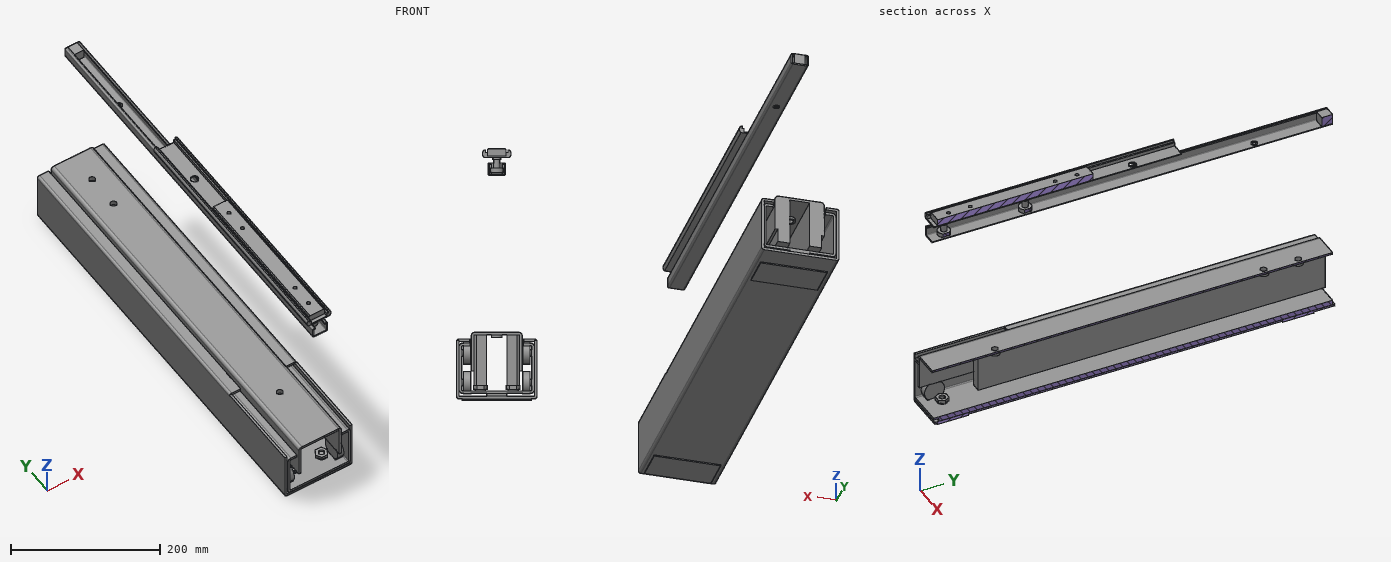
import cadquery as cq


total_width = 108.0
total_length = 605.35
total_height = 337.0
sheet = 3.6
smallest_radius = 0.3

pad_height = 1.8
pad_width = 100.0
pad_length = 47.0
pad_starts = (8.0, 527.0)
housing_front = 4.0
housing_top = 82.1
housing_radius = 3.6
lip_opening = 72.0
lip_start = 138.5
plain_wall_top = 80.3
housing_inner_width = total_width - 2 * sheet
housing_floor_top = pad_height + sheet

cradle_front = 2.0
cradle_rear = 602.0
cradle_bottom = 9.1
cradle_top = 76.6
cradle_radius = 5.0
cradle_width = housing_inner_width
cradle_floor_top = cradle_bottom + sheet
rib_width = 27.4
rib_setback = 8.0

roller_diameter = 30.0
roller_inner = 34.7
roller_width = 10.0
roller_clearance = 1.0
axle_diameter = 9.0
lower_roller = (25.0, 23.7)
upper_roller = (170.0, 63.2)

bolt_x = 21.9
bolt_y = 30.0
bolt_corners = 18.7
bolt_head = 5.5
bolt_collar_diameter = 14.0
bolt_collar = 1.8
bolt_socket_diameter = 8.5
bolt_socket_depth = 3.0

carriage_length = 602.0
carriage_width = 68.4
carriage_top = 91.2
carriage_radius = 5.0
leg_bottom = 39.2
bar_inner = 13.7
bar_bottom = 20.0
bar_front = 80.0
bar_bevel = 3.6
carriage_hole = 9.0
carriage_hole_places = (98.0, 502.0, 554.0)
boss_diameter = 14.5
boss_height = 3.6

channel_length = 602.0
channel_width = 24.0
channel_bottom = 301.2
channel_top = 318.0
channel_wall = 2.0
channel_opening = 15.0
channel_radius = 2.5
plug_length = 16.5
channel_hole = 5.1
channel_hole_head = 9.0
channel_hole_y = 488.0

rail_front = 2.7
rail_rear = 375.0
rail_bottom = 325.0
rail_top = 335.2
rail_half_width = 19.3
rail_edge = 17.0
rail_wall = 2.0
rail_opening = 30.0
ledge_top = 332.0
rail_hole = 11.05
rail_hole_y = 305.0
stud_places = (21.3, 143.5)
stud_diameter = 8.5
wheel_top = 311.0
collar_diameter = 11.05
collar_height = 2.5
wheel_diameter = 18.0
wheel_bottom = 305.0

slider_front = 8.0
slider_rear = 242.0
slider_width = 25.0
slider_bevel = 1.5
slider_hole = 5.0
slider_hole_places = (28.3, 61.1, 188.8, 221.6)

SIDES = (-1, 1)


def block(width, front, rear, bottom, top, x=0.0):
    """Box centred on x, between two Y planes and two Z planes."""
    return cq.Workplane("XY").box(width, rear - front, top - bottom).translate(
        (x, (front + rear) / 2, (bottom + top) / 2)
    )


def upright(diameter, x, y, bottom, top):
    """Cylinder with a vertical axis."""
    return cq.Workplane("XY", origin=(x, y, bottom)).circle(diameter / 2).extrude(top - bottom)


def cross_cylinder(diameter, inner, outer, centre, side):
    """Cylinder along X, between two distances from the middle, at centre = (Y, Z)."""
    origin = (side * inner, *centre)
    return cq.Workplane("YZ", origin=origin).circle(diameter / 2).extrude(side * (outer - inner))


def lipped_channel(width, front, rear, bottom, top, wall, radius, opening):
    """C-shaped sheet channel, open at both ends and along the middle of its top."""
    inner_radius = max(radius - wall, smallest_radius)
    outside = block(width, front, rear, bottom, top).edges("|Y").fillet(radius)
    inside = block(width - 2 * wall, front, rear, bottom + wall, top - wall)
    inside = inside.edges("|Y").fillet(inner_radius)
    mouth = block(opening, front, rear, top - 2 * wall, top)
    return outside.cut(inside).cut(mouth)


def make_housing():
    """Lipped channel with plain side walls at its front end and two foot pads."""
    body = lipped_channel(
        total_width, lip_start, total_length, pad_height, housing_top,
        sheet, housing_radius, lip_opening,
    )
    plain = block(total_width, housing_front, lip_start, pad_height, plain_wall_top)
    plain = plain.edges("|Y and <Z").fillet(housing_radius)
    inside = block(housing_inner_width, housing_front, lip_start, housing_floor_top, plain_wall_top)
    body = body.union(plain.cut(inside.edges("|Y and <Z").fillet(smallest_radius)))
    for start in pad_starts:
        pad = block(pad_width - 2 * housing_radius, start, start + pad_length, 0, pad_height)
        body = body.union(pad)
    return body


def make_roller(centre, side):
    """Roller with its axle, which ends in the cradle wall."""
    outer = roller_inner + roller_width
    roller = cross_cylinder(roller_diameter, roller_inner, outer, centre, side)
    axle_end = cradle_width / 2 - sheet / 2
    return roller.union(cross_cylinder(axle_diameter, outer, axle_end, centre, side))


def make_bolt(side):
    """Hexagon head with a round socket, on a round collar that stands on the cradle floor."""
    collar_top = cradle_floor_top + bolt_collar
    collar = upright(bolt_collar_diameter, side * bolt_x, bolt_y, cradle_floor_top, collar_top)
    head = (
        cq.Workplane("XY", origin=(side * bolt_x, bolt_y, collar_top))
        .polygon(6, bolt_corners)
        .extrude(bolt_head)
    )
    head_top = collar_top + bolt_head
    socket = upright(bolt_socket_diameter, side * bolt_x, bolt_y, head_top - bolt_socket_depth, head_top)
    return collar.union(head).cut(socket)


def make_cradle():
    """Lipped channel inside the housing, with rollers in slots of its floor and lips."""
    body = lipped_channel(
        cradle_width, cradle_front, cradle_rear, cradle_bottom, cradle_top,
        sheet, cradle_radius, lip_opening,
    )
    rib = block(rib_width, cradle_front + rib_setback, cradle_rear, housing_floor_top, cradle_bottom)
    body = body.union(rib)
    for side in SIDES:
        for centre in (lower_roller, upper_roller):
            slot = cross_cylinder(
                roller_diameter + 2 * roller_clearance,
                roller_inner - roller_clearance,
                roller_inner + roller_width + roller_clearance,
                centre, side,
            )
            body = body.cut(slot).union(make_roller(centre, side))
        body = body.union(make_bolt(side))
    return body


def make_carriage():
    """Inverted U with two thick bars inside its legs and bossed holes in its roof."""
    roof_bottom = carriage_top - sheet
    leg_inner = carriage_width / 2 - sheet
    body = block(carriage_width, 0, carriage_length, leg_bottom, carriage_top)
    body = body.edges("|Y and >Z").fillet(carriage_radius)
    inside = block(2 * leg_inner, 0, carriage_length, leg_bottom, roof_bottom)
    body = body.cut(inside.edges("|Y and >Z").fillet(carriage_radius - sheet))
    for side in SIDES:
        bar = block(
            leg_inner - bar_inner, bar_front, carriage_length, bar_bottom,
            roof_bottom, side * (leg_inner + bar_inner) / 2,
        )
        outer_edge = "|Z and <Y and >X" if side > 0 else "|Z and <Y and <X"
        body = body.union(bar.edges(outer_edge).chamfer(bar_bevel))
    for y in carriage_hole_places:
        body = body.union(upright(boss_diameter, 0, y, roof_bottom - boss_height, roof_bottom))
        body = body.cut(upright(carriage_hole, 0, y, roof_bottom - boss_height, carriage_top))
    return body


def make_channel():
    """Lipped channel with one counterbored hole in its floor."""
    body = lipped_channel(
        channel_width, 0, channel_length, channel_bottom, channel_top,
        channel_wall, channel_radius, channel_opening,
    )
    floor_top = channel_bottom + channel_wall
    return (
        body.cut(upright(channel_hole, 0, channel_hole_y, channel_bottom, floor_top))
        .cut(upright(channel_hole_head, 0, channel_hole_y, floor_top - channel_wall / 2, floor_top))
    )


def make_plug():
    """Block between the lips at the rear end of the channel, level with its top."""
    start = channel_length - plug_length
    return block(
        channel_opening, start, channel_length, channel_bottom + channel_wall, channel_top
    )


def rail_section(edge, half_width, bottom, top):
    """Flat top and bottom joined by sides that bulge out as arcs."""
    middle = (bottom + top) / 2
    return (
        cq.Workplane("XZ", origin=(0, rail_front, 0))
        .moveTo(-edge, bottom)
        .lineTo(edge, bottom)
        .threePointArc((half_width, middle), (edge, top))
        .lineTo(-edge, top)
        .threePointArc((-half_width, middle), (-edge, bottom))
        .close()
        .extrude(rail_front - rail_rear)
    )


def make_rail():
    """Rail with a ledge along each side of the slider, and two wheeled studs below its floor."""
    floor_top = rail_bottom + rail_wall
    body = rail_section(rail_edge, rail_half_width, rail_bottom, rail_top)
    body = body.cut(block(slider_width, rail_front, rail_rear, floor_top, rail_top))
    body = body.cut(block(rail_opening, rail_front, rail_rear, ledge_top, rail_top))
    body = body.cut(upright(rail_hole, 0, rail_hole_y, rail_bottom, floor_top))
    for y in stud_places:
        body = body.union(upright(collar_diameter, 0, y, rail_bottom - collar_height, rail_bottom))
        body = body.union(upright(stud_diameter, 0, y, wheel_top, rail_bottom))
        body = body.union(upright(wheel_diameter, 0, y, wheel_bottom, wheel_top))
    return body


def make_slider():
    """Bevelled bar with a row of holes, lying between the ledges of the rail."""
    body = block(slider_width, slider_front, slider_rear, rail_bottom + rail_wall, total_height)
    body = body.edges("|Y and >Z").chamfer(slider_bevel)
    for y in slider_hole_places:
        body = body.cut(upright(slider_hole, 0, y, rail_bottom + rail_wall, total_height))
    return body


housing = make_housing()
cradle = make_cradle()
carriage = make_carriage()
channel = make_channel()
plug = make_plug()
rail = make_rail()
slider = make_slider()

result = cq.Compound.makeCompound([
    housing.val(),
    cradle.val(),
    carriage.val(),
    channel.val(),
    plug.val(),
    rail.val(),
    slider.val(),
])